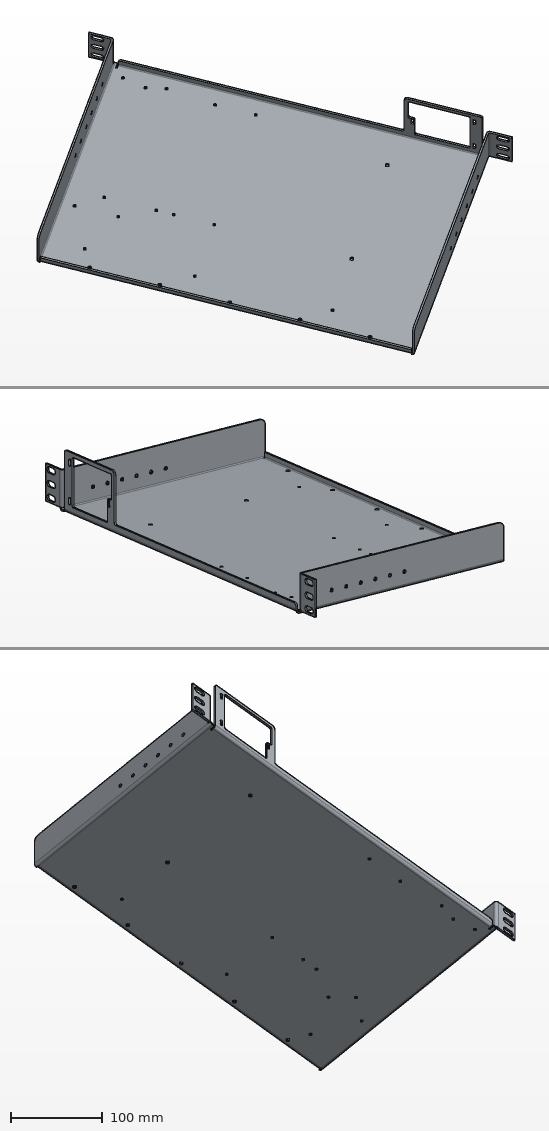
import cadquery as cq

overall_width = 483.0
depth = 280.0
tray_width = 430.5
sheet = 2.25
inner_bend = 1.2
outer_bend = sheet + inner_bend
half_tray = tray_width / 2
floor_half = half_tray - outer_bend

wall_top = 47.0
wall_corner_radius = 7.0
ear_bottom = 3.5
ear_slot_length = 14.5
ear_slot_height = 7.2
ear_slot_inset = 10.0
ear_slot_count = 3
ear_slot_pitch = 16.0
wall_hole_diameter = 4.0
wall_hole_count = 6
first_wall_hole_y = 136.5
last_wall_hole_y = 236.5
wall_hole_z = 18.5

front_lip_top = 8.5
rear_lip_top = 10.0
rear_lip_half = 207.5
rear_lip_corner_radius = 4.0
relief_depth = 6.5
relief_width = 1.5

frame_left = 118.5
frame_right = rear_lip_half
frame_top = 72.0
frame_left_radius = 5.0
frame_right_radius = 3.0
frame_foot_radius = 3.0
window_left = 123.0
window_right = 193.5
window_top = 67.0
window_bottom = 9.0
window_radius = 2.0
step_right = 130.5
step_top = 37.0
frame_slot_width = 3.0
frame_slot_height = 8.0
frame_slots = [(128.0, 32.0), (198.5, 59.5), (198.5, 15.0)]

front_hole_count = 5
front_row_length = 319.7
front_hole_middle_x = 2.5
front_hole_y = 7.5
mount_hole_diameter = 4.0
screw_hole_diameter = 3.0
mount_holes = [(112.5, 234.5), (112.5, 103.0)]
screw_holes = [
    (-197.5, 262.8), (-148.0, 262.8), (-197.5, 82.5), (-148.0, 82.5),
    (-170.0, 257.5), (-91.0, 257.5), (-44.5, 257.5),
    (-170.0, 103.0), (-110.5, 103.0), (-91.0, 103.0), (-44.5, 103.0),
    (-170.0, 30.5), (-44.5, 30.5), (112.5, 30.5),
]


def box(x_range, y_range, z_range):
    """Block spanning the given (low, high) ranges."""
    spans = [high - low for low, high in (x_range, y_range, z_range)]
    corner = (x_range[0], y_range[0], z_range[0])
    return cq.Workplane("XY").box(*spans, centered=False).translate(corner)


def bend(plane, length):
    """Quarter-round bend of the sheet, centred on the plane's origin, from its -x to its -y side."""
    diagonal = 0.5 ** 0.5
    return (
        cq.Workplane(plane)
        .moveTo(-outer_bend, 0)
        .threePointArc((-outer_bend * diagonal, -outer_bend * diagonal), (0, -outer_bend))
        .lineTo(0, -inner_bend)
        .threePointArc((-inner_bend * diagonal, -inner_bend * diagonal), (-inner_bend, 0))
        .close()
        .extrude(length)
    )


def round_edge(body, x, z, radius):
    """Round the edge of an upright panel that crosses its thickness at (x, z)."""
    nearest = cq.NearestToPointSelector((x, depth - sheet / 2, z))
    return body.edges("|Y").edges(nearest).fillet(radius)


def side_wall():
    """Left wall with its floor bend, its rack ear and their holes."""
    wall_rear = depth - outer_bend
    wall = box((-half_tray, sheet - half_tray), (0, wall_rear), (outer_bend, wall_top))
    wall = wall.edges("|X and >Z and <Y").fillet(wall_corner_radius)

    floor_plane = cq.Plane((-floor_half, 0, outer_bend), xDir=(1, 0, 0), normal=(0, -1, 0))
    floor_bend = bend(floor_plane, -depth)

    ear_root = -half_tray - inner_bend
    ear_plane = cq.Plane((ear_root, wall_rear, ear_bottom), xDir=(-1, 0, 0), normal=(0, 0, 1))
    ear_bend = bend(ear_plane, wall_top - ear_bottom)
    ear = box((-overall_width / 2, ear_root), (depth - sheet, depth), (ear_bottom, wall_top))

    slot_x = ear_slot_inset - overall_width / 2
    slot_z = (ear_bottom + wall_top) / 2
    slots = (
        cq.Workplane("XZ", origin=(slot_x, depth, slot_z))
        .rarray(5, ear_slot_pitch, 1, ear_slot_count)
        .slot2D(ear_slot_length, ear_slot_height)
        .extrude(sheet)
    )

    hole_middle_y = (first_wall_hole_y + last_wall_hole_y) / 2
    hole_pitch = (last_wall_hole_y - first_wall_hole_y) / (wall_hole_count - 1)
    holes = (
        cq.Workplane("YZ", origin=(-half_tray, hole_middle_y, wall_hole_z))
        .rarray(hole_pitch, 5, wall_hole_count, 1)
        .circle(wall_hole_diameter / 2)
        .extrude(sheet)
    )
    return wall.union(floor_bend).union(ear_bend).union(ear).cut(slots).cut(holes)


def front_lip():
    """Low lip bent up along the front edge, between the side bends."""
    plane = cq.Plane((-floor_half, outer_bend, outer_bend), xDir=(0, 1, 0), normal=(1, 0, 0))
    lip = box((-floor_half, floor_half), (0, sheet), (outer_bend, front_lip_top))
    return lip.union(bend(plane, 2 * floor_half))


def rear_lip():
    """Lip bent up along the rear edge, carrying the upright frame on its right end."""
    plane = cq.Plane((rear_lip_half, depth - outer_bend, outer_bend), xDir=(0, -1, 0), normal=(-1, 0, 0))
    panel_y = (depth - sheet, depth)
    lip = box((-rear_lip_half, rear_lip_half), panel_y, (outer_bend, rear_lip_top))
    lip = lip.union(box((frame_left, frame_right), panel_y, (outer_bend, frame_top)))
    lip = round_edge(lip, -rear_lip_half, rear_lip_top, rear_lip_corner_radius)
    lip = round_edge(lip, frame_left, rear_lip_top, frame_foot_radius)
    lip = round_edge(lip, frame_left, frame_top, frame_left_radius)
    lip = round_edge(lip, frame_right, frame_top, frame_right_radius)

    window = box((window_left, window_right), panel_y, (window_bottom, window_top))
    step = box((window_left, step_right), panel_y, (window_bottom, step_top))
    window = window.cut(step).edges("|Y").fillet(window_radius)

    slots = (
        cq.Workplane("XZ", origin=(0, depth, 0))
        .pushPoints(frame_slots)
        .slot2D(frame_slot_height, frame_slot_width, angle=90)
        .extrude(sheet)
    )
    return lip.cut(window).cut(slots).union(bend(plane, 2 * rear_lip_half))


def floor():
    """Flat plate between the bends, with a relief slit at each rear corner, and its holes."""
    plate = box((-floor_half, floor_half), (outer_bend, depth - outer_bend), (0, sheet))
    tab = box((rear_lip_half, floor_half), (depth - outer_bend, depth), (0, sheet))
    plate = plate.union(tab).union(tab.mirror("YZ"))
    relief_x = (rear_lip_half, rear_lip_half + relief_width)
    relief = box(relief_x, (depth - relief_depth, depth), (0, sheet))
    plate = plate.cut(relief).cut(relief.mirror("YZ"))

    front_hole_pitch = front_row_length / (front_hole_count - 1)
    base = cq.Workplane("XY")
    front_row = (
        base.center(front_hole_middle_x, front_hole_y)
        .rarray(front_hole_pitch, 5, front_hole_count, 1)
        .circle(mount_hole_diameter / 2)
        .extrude(sheet)
    )
    mounts = base.pushPoints(mount_holes).circle(mount_hole_diameter / 2).extrude(sheet)
    screws = base.pushPoints(screw_holes).circle(screw_hole_diameter / 2).extrude(sheet)
    return plate.cut(front_row).cut(mounts).cut(screws)


left_wall = side_wall()
right_wall = left_wall.mirror("YZ")
result = floor().union(front_lip()).union(rear_lip()).union(left_wall).union(right_wall)